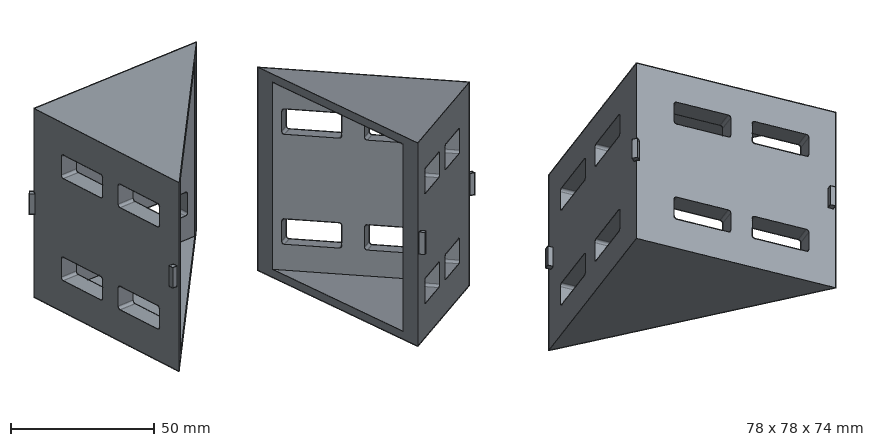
import cadquery as cq

height = 74.0
peg_size = 2.0
leg = 78 - peg_size
wall = 7.0
plate = 3.0

window_length = 21.5
window_height = 9.2
window_radius = 1.0
window_pitch_along = 29.7
window_pitch_up = 40.0
window_middle = 40.0

peg_height = 8.0
x_peg_end_gap = 1.0
y_peg_end_gap = 2.0
corner_peg_offset = 0.4


def triangle(corner, side, bottom, rise):
    """Right-angled prism with its square corner at (corner, corner)."""
    points = [(corner, corner), (corner + side, corner), (corner, corner + side)]
    return cq.Workplane("XY").workplane(offset=bottom).polyline(points).close().extrude(rise)


def upright_peg(x, y, turn=0):
    """Square peg at mid-height, centred at (x, y)."""
    peg = cq.Workplane("XY").box(peg_size, peg_size, peg_height)
    return peg.rotate((0, 0, 0), (0, 0, 1), turn).translate((x, y, height / 2))


def swap_walls(shape):
    """Mirror across the plane X = Y, taking a feature of one wall to the other."""
    return shape.mirror("YZ").rotate((0, 0, 0), (0, 0, 1), -90)


cavity = triangle(wall, leg - wall, plate, height - 2 * plate)
body = triangle(0, leg, 0, height).cut(cavity)

windows = (
    cq.Workplane("XZ", origin=(window_middle, 0, height / 2))
    .rarray(window_pitch_along, window_pitch_up, 2, 2)
    .rect(window_length, window_height)
    .extrude(-wall)
    .edges("|Y")
    .fillet(window_radius)
)
body = body.cut(windows).cut(swap_walls(windows))

x_end_peg = upright_peg(leg - x_peg_end_gap - peg_size / 2, -peg_size / 2)
y_end_peg = upright_peg(-peg_size / 2, leg - y_peg_end_gap - peg_size / 2)
corner_peg = upright_peg(-corner_peg_offset, -corner_peg_offset, 45)

result = body.union(x_end_peg).union(y_end_peg).union(corner_peg)